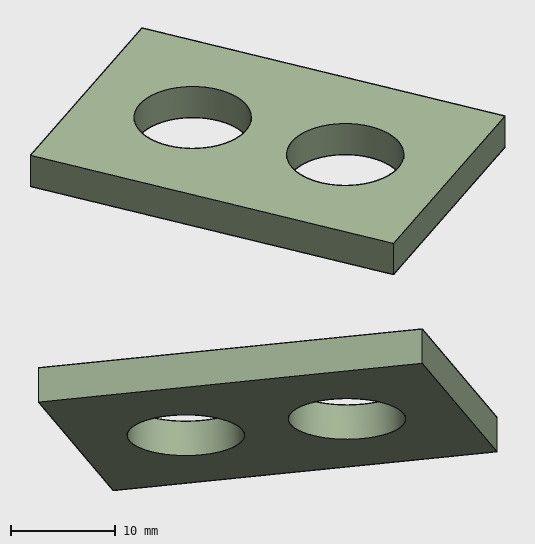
import cadquery as cq

plate_length = 38.1
plate_width = 25.4
plate_thickness = 3.5

hole_diameter = 11.18
hole_spacing = 16.0
hole_pair_offset = 0.13


def make_plate():
    return cq.Workplane("XY").box(
        plate_length, plate_width, plate_thickness, centered=(True, True, False)
    )


def cut_holes(plate):
    centres = [(hole_pair_offset + side * hole_spacing / 2, 0) for side in (-1, 1)]
    return plate.faces(">Z").workplane(origin=(0, 0, 0)).pushPoints(centres).hole(hole_diameter)


result = cut_holes(make_plate())